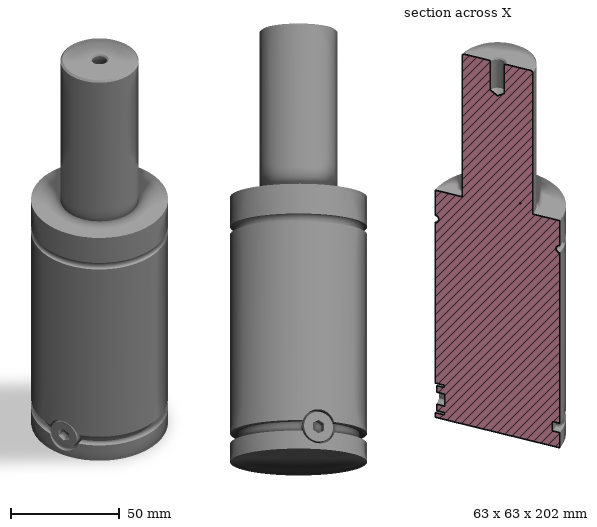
import cadquery as cq
import math

total_height = 202.0
body_diameter = 63.0
body_height = 124.0
rod_diameter = 36.0
rod_rim_width = 1.0
rod_rim_height = 0.8

top_band_height = 14.0
upper_groove_radius = 1.8

base_band_height = 8.5
lower_groove_height = 4.8
lower_groove_depth = 3.6

rod_hole_diameter = 6.9
rod_hole_mouth_diameter = 8.3
rod_hole_depth = 16.2
drill_point_angle = 118.0

plug_height = 10.7
plug_diameter = 14.0
pocket_diameter = 16.0
pocket_floor_distance = 26.9
plug_face_distance = 30.7
hex_across_flats = 5.5
hex_depth = 4.0

body_radius = body_diameter / 2


def cylinder(diameter, height, base_z):
    return cq.Workplane("XY").workplane(offset=base_z).circle(diameter / 2).extrude(height)


def plug_plane(distance):
    """Sketch plane on the plug axis, facing -Y, at a distance from the body axis."""
    return cq.Workplane("XZ", origin=(0, -distance, plug_height))


def body_and_rod():
    body = cylinder(body_diameter, body_height, 0)
    rod = cylinder(rod_diameter, total_height - body_height, body_height)
    rod = rod.faces(">Z").edges().chamfer(rod_rim_height, rod_rim_width)
    return body.union(rod)


def upper_groove():
    center_z = body_height - top_band_height - upper_groove_radius
    return (
        cq.Workplane("XZ")
        .center(body_radius, center_z)
        .circle(upper_groove_radius)
        .revolve(360, (-body_radius, 0), (-body_radius, 1))
    )


def lower_groove():
    floor_diameter = body_diameter - 2 * lower_groove_depth
    ring = cylinder(body_diameter, lower_groove_height, base_band_height)
    return ring.cut(cylinder(floor_diameter, lower_groove_height, base_band_height))


def rod_hole():
    radius = rod_hole_diameter / 2
    mouth_radius = rod_hole_mouth_diameter / 2
    mouth_depth = mouth_radius - radius
    wall_end_z = total_height - rod_hole_depth
    tip_z = wall_end_z - radius / math.tan(math.radians(drill_point_angle / 2))
    profile = [
        (0, tip_z),
        (radius, wall_end_z),
        (radius, total_height - mouth_depth),
        (mouth_radius, total_height),
        (0, total_height),
    ]
    return cq.Workplane("XZ").polyline(profile).close().revolve(360, (0, 0), (0, 1))


def plug_pocket():
    depth = body_radius - pocket_floor_distance
    return plug_plane(pocket_floor_distance).circle(pocket_diameter / 2).extrude(depth)


def plug():
    root_distance = body_radius - 2 * lower_groove_depth
    blank = plug_plane(root_distance).circle(plug_diameter / 2).extrude(plug_face_distance - root_distance)
    corner_diameter = hex_across_flats / math.cos(math.pi / 6)
    socket = (
        plug_plane(plug_face_distance)
        .transformed(rotate=(0, 0, 90))
        .polygon(6, corner_diameter)
        .extrude(-hex_depth)
    )
    return blank, socket


plug_blank, hex_socket = plug()
result = body_and_rod().cut(upper_groove()).cut(lower_groove()).cut(rod_hole())
result = result.cut(plug_pocket()).union(plug_blank).cut(hex_socket)